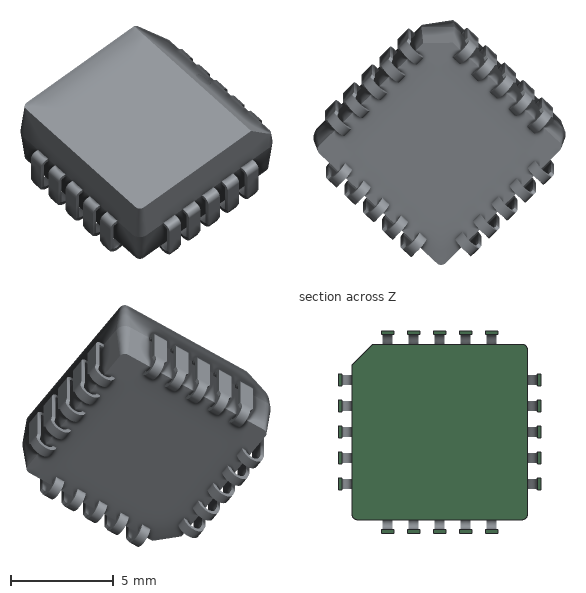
import cadquery as cq
import math

overall_width = 9.9
overall_height = 4.57

body_width = 8.99
body_bottom = 0.5
parting_height = (body_bottom + overall_height) / 2
draft_inset = 0.21
corner_radius = 0.495
corner_chamfer = 1.14

bevel_top_y = 3.01
mark_y = 3.71
mark_radius = 0.43
mark_depth = 0.01

leads_per_side = 5
lead_pitch = 1.27
lead_width = 0.74
foot_width = 0.49
lead_thickness = 0.2
bend_radius = 0.3
hook_radius = 0.6
shoulder_drop = 0.16
lead_embed = 0.3
lead_rise = 0.02

lead_top = parting_height + lead_rise
half_body = body_width / 2
lead_outer = overall_width / 2
hook_center = lead_outer - hook_radius


def make_body():
    """Square block with one chamfered and three rounded corners, drafted from the parting plane."""
    half_height = parting_height - body_bottom
    draft_angle = math.degrees(math.atan(draft_inset / half_height))
    outline = (
        cq.Sketch()
        .rect(body_width, body_width)
        .vertices("<X and >Y")
        .chamfer(corner_chamfer)
        .reset()
        .vertices(">X or <Y")
        .fillet(corner_radius)
    )
    parting = cq.Workplane("XY", origin=(0, 0, parting_height)).placeSketch(outline)
    upper = parting.extrude(half_height, taper=draft_angle)
    lower = parting.extrude(-half_height, taper=draft_angle)
    return upper.union(lower)


def make_bevel_cutter():
    """Triangular prism that takes off the top edge on the +Y side."""
    bevel_outer_z = overall_height - (lead_outer - bevel_top_y)
    return (
        cq.Workplane("YZ", origin=(-lead_outer, 0, 0))
        .moveTo(bevel_top_y, overall_height)
        .lineTo(lead_outer, overall_height)
        .lineTo(lead_outer, bevel_outer_z)
        .close()
        .extrude(overall_width)
    )


def make_mark_cutter():
    """Shallow round pin-one recess, square to the bevel face."""
    mark_z = overall_height - (mark_y - bevel_top_y)
    bevel_plane = cq.Plane(origin=(0, mark_y, mark_z), xDir=(1, 0, 0), normal=(0, 1, 1))
    return cq.Workplane(bevel_plane).circle(mark_radius).extrude(-mark_depth)


def make_lead():
    """One lead on the +X side, centred on Y = 0."""
    embedded_end = half_body - lead_embed
    inner_face = lead_outer - lead_thickness
    bend_center = (lead_outer - bend_radius, lead_top - bend_radius)
    inner_bend = bend_radius - lead_thickness
    diagonal = math.sqrt(0.5)

    shank = (
        cq.Workplane("XZ")
        .moveTo(embedded_end, lead_top)
        .lineTo(bend_center[0], lead_top)
        .threePointArc(
            (bend_center[0] + bend_radius * diagonal, bend_center[1] + bend_radius * diagonal),
            (lead_outer, bend_center[1]),
        )
        .lineTo(lead_outer, hook_radius)
        .lineTo(inner_face, hook_radius)
        .lineTo(inner_face, bend_center[1])
        .threePointArc(
            (bend_center[0] + inner_bend * diagonal, bend_center[1] + inner_bend * diagonal),
            (bend_center[0], lead_top - lead_thickness),
        )
        .lineTo(embedded_end, lead_top - lead_thickness)
        .close()
        .extrude(lead_width / 2, both=True)
    )

    hook_inner = hook_radius - lead_thickness
    wide_hook = (
        cq.Workplane("XZ")
        .moveTo(lead_outer, hook_radius)
        .threePointArc((hook_center, 0), (hook_center - hook_radius, hook_radius))
        .lineTo(hook_center - hook_inner, hook_radius)
        .threePointArc((hook_center, lead_thickness), (inner_face, hook_radius))
        .close()
        .extrude(lead_width / 2, both=True)
    )
    foot_slab = cq.Workplane("XY").box(2 * lead_outer, foot_width, 2 * hook_radius)
    hook = wide_hook.intersect(foot_slab)

    taper = (
        cq.Workplane("YZ", origin=(hook_center, 0, 0))
        .moveTo(-lead_width / 2, hook_radius)
        .lineTo(lead_width / 2, hook_radius)
        .lineTo(foot_width / 2, hook_radius - shoulder_drop)
        .lineTo(-foot_width / 2, hook_radius - shoulder_drop)
        .close()
        .extrude(hook_radius)
    )
    shoulder = wide_hook.intersect(taper)
    return shank.union(hook).union(shoulder)


result = make_body().cut(make_bevel_cutter()).cut(make_mark_cutter())

lead = make_lead()
for side in range(4):
    for index in range(leads_per_side):
        offset = (index - (leads_per_side - 1) / 2) * lead_pitch
        placed_lead = lead.translate((0, offset, 0)).rotate((0, 0, 0), (0, 0, 1), 90 * side)
        result = result.union(placed_lead)